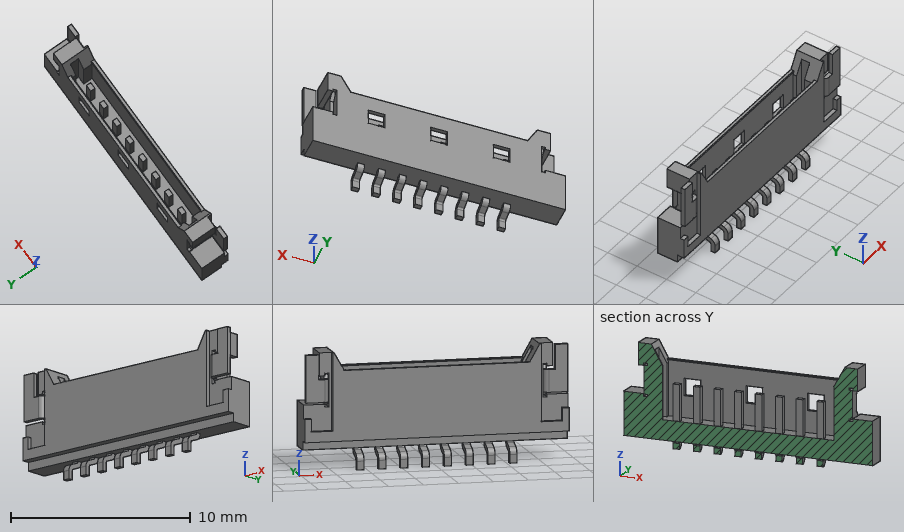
import cadquery as cq
import math


length = 15.15
width = 1.8
post_height = 5.51
wall_height = 4.5
block_height = 2.59
front = -width / 2
back = width / 2
end = -length / 2

post_offset = 0.9
neck_offset = 1.44
overhang_height = 4.2
ramp_top_offset = 1.7
ramp_foot_offset = 2.27

step_height = 0.5
step_depth = 0.45

cavity_offset = 2.38
cavity_floor = 1.21
wall_thickness = 0.23
lead_in = 0.05
key_offset = 1.88
key_front = -0.1
key_back = 0.44

window_size = 1.0
window_top = 3.48

pin_count = 8
pin_row_span = 8.75
pin_pitch = pin_row_span / (pin_count - 1)
pin_width = 0.41
pin_thickness = 0.29
pin_top = 3.33
pin_bottom = -1.18
pin_slope = math.radians(20)
pin_bend_radius = 0.14
pin_upper_bend = -0.02
window_pitch = 3 * pin_pitch

recess_depth = 0.25
recess_inner_offset = 1.6
recess_floor = 1.09
arm_width = 0.38
arm_height = 1.82

clip_offset = 0.08
clip_finger_width = 0.73
clip_top = 5.44
clip_foot_top = 4.03
clip_foot_bottom = 2.74
bend_radius = 0.29
blade_thickness = 0.23
blade_half_height = 0.85
blade_shoulder_start = 0.4
blade_shoulder_end = 0.53
blade_notch_depth = 1.3
blade_notch_half_height = 0.48
blade_prong_start = 1.45
blade_end = 1.62
blade_middle = (clip_foot_top + clip_foot_bottom) / 2
slot_half_height = 0.95
blade_outer_x = end + neck_offset - blade_thickness


def box(x0, x1, y0, y1, z0, z1):
    """Box between two limits on each axis."""
    return cq.Workplane("XY").box(x1 - x0, y1 - y0, z1 - z0, centered=False).translate((x0, y0, z0))


def both_ends(shape):
    """Shape at the -X end together with its mirror image at the +X end."""
    return shape.union(shape.mirror("YZ"))


def housing_blank():
    half_outline = [
        (0, 0),
        (end, 0),
        (end, block_height),
        (end + neck_offset, block_height),
        (end + neck_offset, overhang_height),
        (end + post_offset, overhang_height),
        (end + post_offset, post_height),
        (end + ramp_top_offset, post_height),
        (end + ramp_foot_offset, wall_height),
        (0, wall_height),
    ]
    half = cq.Workplane("XZ", origin=(0, back, 0)).polyline(half_outline).close().extrude(width)
    step = box(end, -end, front, front + step_depth, 0, step_height)
    return both_ends(half).cut(step)


def mating_cavity():
    cavity_end = end + cavity_offset
    inner_front = front + wall_thickness
    inner_back = back - wall_thickness
    cavity = box(cavity_end, -cavity_end, inner_front, inner_back, cavity_floor, post_height)
    key = box(end + key_offset, cavity_end, key_front, key_back, cavity_floor, post_height)
    lead_length = -2 * cavity_end
    lead_profile = [
        (inner_front, wall_height - lead_in),
        (inner_front - lead_in, wall_height),
        (inner_back + lead_in, wall_height),
        (inner_back, wall_height - lead_in),
    ]
    lead = cq.Workplane("YZ").polyline(lead_profile).close().extrude(lead_length / 2, both=True)

    ramp_slope = (post_height - wall_height) / (ramp_foot_offset - ramp_top_offset)
    ramp_drop = ramp_slope * (cavity_offset - ramp_foot_offset)
    ramp_profile = [
        (end + ramp_foot_offset, wall_height),
        (cavity_end, wall_height),
        (cavity_end, wall_height - ramp_drop),
    ]
    ramp_plane = cq.Workplane("XZ", origin=(0, inner_back, 0))
    ramp = ramp_plane.polyline(ramp_profile).close().extrude(inner_back - inner_front)
    return cavity.union(both_ends(key)).union(lead).union(both_ends(ramp))


def back_windows():
    windows = cq.Workplane("XY")
    for index in (-1, 0, 1):
        left = index * window_pitch - window_size / 2
        window = box(left, left + window_size, 0, back, window_top - window_size, window_top)
        windows = windows.union(window)
    return windows


def clip_recess():
    outline = [
        (end, arm_height),
        (end + arm_width, arm_height),
        (end + arm_width, recess_floor),
        (end + recess_inner_offset, recess_floor),
        (end + recess_inner_offset, post_height),
        (end, post_height),
    ]
    recess = cq.Workplane("XZ", origin=(0, front + recess_depth, 0)).polyline(outline).close()
    slot_bottom = blade_middle - slot_half_height
    slot_top = blade_middle + slot_half_height
    slot = box(blade_outer_x, end + neck_offset, front, back, slot_bottom, slot_top)
    return recess.extrude(recess_depth).union(slot)


def clip():
    finger_left = end + clip_offset
    finger = box(
        finger_left, finger_left + clip_finger_width, front, front + recess_depth, clip_foot_bottom, clip_top
    )

    blade_inner_x = end + neck_offset
    blade_start = front + bend_radius
    diagonal = bend_radius * math.sqrt(0.5)
    bend_x = blade_inner_x - bend_radius
    foot = (
        cq.Workplane("XY", origin=(0, 0, clip_foot_bottom))
        .moveTo(finger_left, front)
        .lineTo(bend_x, front)
        .threePointArc((bend_x + diagonal, blade_start - diagonal), (blade_inner_x, blade_start))
        .lineTo(blade_outer_x, blade_start)
        .lineTo(blade_outer_x, front + recess_depth)
        .lineTo(finger_left, front + recess_depth)
        .close()
        .extrude(clip_foot_top - clip_foot_bottom)
    )

    foot_half_height = (clip_foot_top - clip_foot_bottom) / 2
    upper_edge = [
        (bend_radius, foot_half_height),
        (blade_shoulder_start, foot_half_height),
        (blade_shoulder_end, blade_half_height),
        (blade_prong_start, blade_half_height),
        (blade_end, slot_half_height),
        (blade_notch_depth, blade_notch_half_height),
    ]
    lower_edge = [(depth, -height) for depth, height in reversed(upper_edge)]
    outline = [(front + depth, blade_middle + height) for depth, height in upper_edge + lower_edge]
    blade = cq.Workplane("YZ", origin=(blade_outer_x, 0, 0)).polyline(outline).close().extrude(blade_thickness)
    return finger.union(foot).union(blade)


def pin_profile():
    """Side outline of a pin: upright, sloped run, upright foot flush with the housing front."""
    outer_radius = pin_bend_radius + pin_thickness
    turn = math.pi / 2 - pin_slope
    half_turn = turn / 2

    def on_arc(centre, radius, angle):
        return (centre[0] + radius * math.cos(angle), centre[1] + radius * math.sin(angle))

    upper_centre = (-pin_thickness / 2 - pin_bend_radius, pin_upper_bend)
    lower_centre_y = front + outer_radius
    centre_gap = outer_radius + pin_bend_radius
    run_shift = upper_centre[0] - lower_centre_y
    run_length = (centre_gap * math.sin(pin_slope) + run_shift) / math.cos(pin_slope)
    run_drop = run_length * math.sin(pin_slope)
    lower_centre_z = pin_upper_bend - centre_gap * math.cos(pin_slope) - run_drop
    lower_centre = (lower_centre_y, lower_centre_z)
    return (
        cq.Workplane("YZ")
        .moveTo(-pin_thickness / 2, pin_top)
        .lineTo(-pin_thickness / 2, pin_upper_bend)
        .threePointArc(
            on_arc(upper_centre, pin_bend_radius, -half_turn),
            on_arc(upper_centre, pin_bend_radius, -turn),
        )
        .lineTo(*on_arc(lower_centre, outer_radius, math.pi - turn))
        .threePointArc(on_arc(lower_centre, outer_radius, math.pi - half_turn), (front, lower_centre_z))
        .lineTo(front, pin_bottom)
        .lineTo(front + pin_thickness, pin_bottom)
        .lineTo(front + pin_thickness, lower_centre_z)
        .threePointArc(
            on_arc(lower_centre, pin_bend_radius, math.pi - half_turn),
            on_arc(lower_centre, pin_bend_radius, math.pi - turn),
        )
        .lineTo(*on_arc(upper_centre, outer_radius, -turn))
        .threePointArc(on_arc(upper_centre, outer_radius, -half_turn), (pin_thickness / 2, pin_upper_bend))
        .lineTo(pin_thickness / 2, pin_top)
        .close()
    )


def pins():
    pin = pin_profile().extrude(pin_width / 2, both=True)
    row = cq.Workplane("XY")
    for index in range(pin_count):
        row = row.union(pin.translate((index * pin_pitch - pin_row_span / 2, 0, 0)))
    return row


housing = housing_blank().cut(mating_cavity()).cut(back_windows()).cut(both_ends(clip_recess()))
result = housing.union(both_ends(clip())).union(pins())